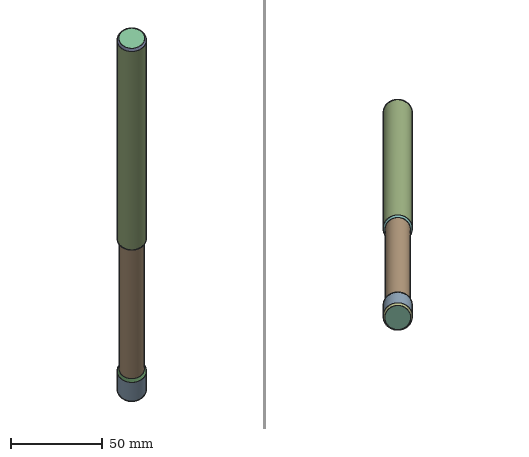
import cadquery as cq
import math

total_length = 315.0
body_diameter = 16.0
neck_diameter = 14.0

head_length = 20.2
shank_length = 180.0

taper_angle = 30.0
shank_step_angle = 45.0
end_inset = 1.0

body_radius = body_diameter / 2
neck_radius = neck_diameter / 2
shank_bottom = total_length - shank_length
step_inset = body_radius - neck_radius


def taper_length(inset, angle):
    """Axial length of a taper that steps inwards by `inset` at `angle` degrees."""
    return inset / math.tan(math.radians(angle))


end_taper = taper_length(end_inset, taper_angle)
head_step_taper = taper_length(step_inset, taper_angle)
shank_step_taper = taper_length(step_inset, shank_step_angle)

profile = [
    (0, 0),
    (body_radius - end_inset, 0),
    (body_radius, end_taper),
    (body_radius, head_length - head_step_taper),
    (neck_radius, head_length),
    (neck_radius, shank_bottom),
    (body_radius, shank_bottom + shank_step_taper),
    (body_radius, total_length - end_taper),
    (body_radius - end_inset, total_length),
    (0, total_length),
]

result = (
    cq.Workplane("YZ")
    .polyline([(-radius, height) for radius, height in profile])
    .close()
    .revolve(360, (0, 0, 0), (0, 1, 0))
)